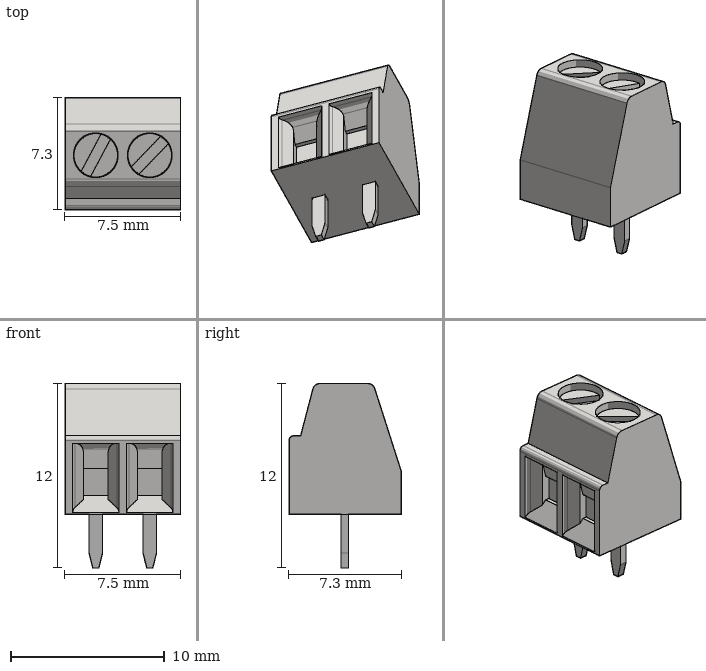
import cadquery as cq


pole_count = 2
pitch = 3.5
pole_places = [(i - (pole_count - 1) / 2) * pitch for i in range(pole_count)]

width = 7.5
depth = 7.3
height = 8.51
step_height = 5.11
step_depth = 0.75
top_front = 1.63
top_back = 5.46
back_wall_height = 2.78
top_round = 0.49
step_round = 0.3

entry_half_width = 1.5
entry_floor = 0.12
entry_top = 4.62
entry_wall_round = 0.47
entry_top_round = 0.5
funnel_end = 1.19
funnel_wall_end = 0.9
window_half_width = 0.8
window_bottom = 1.24
window_top = 2.99

screw_y = 3.55
clamp_front = 1.46
clamp_depth = 2 * (screw_y - clamp_front)

screw_radius = 1.42
screw_hole_radius = 1.45
screw_recess = 0.49
screw_top = height - screw_recess
slot_width = 0.7
slot_depth = 0.7
slot_angles = [62, 46]

pin_width = 0.9
pin_thickness = 0.5
pin_y = 3.61
pin_reach = 3.49
pin_bottom = -pin_reach
pin_tip_width = 0.4
pin_taper_height = 1.0


def side_extrusion(points, span):
    """Extrude a closed (Y, Z) outline along X, centred on X = 0."""
    return cq.Workplane("YZ").polyline(points).close().extrude(span / 2, both=True)


def round_edge(body, x, y, z, radius):
    """Round the edge whose middle is nearest to (x, y, z)."""
    return body.edges(cq.NearestToPointSelector((x, y, z))).fillet(radius)


def make_shell():
    """Housing block with its rounded long edges, before any opening is cut."""
    shell = side_extrusion(
        [
            (0, 0),
            (depth, 0),
            (depth, back_wall_height),
            (top_back, height),
            (top_front, height),
            (step_depth, step_height),
            (0, step_height),
        ],
        width,
    )
    shell = round_edge(shell, 0, top_front, height, top_round)
    shell = round_edge(shell, 0, top_back, height, top_round)
    return round_edge(shell, 0, 0, step_height, step_round)


def make_entry(x):
    """Funnel-shaped wire entry: the overlap of its side outline and its plan outline."""
    front_slope = (top_front - step_depth) / (height - step_height)
    slope_start = funnel_end - (entry_top - window_top) * front_slope
    side = side_extrusion(
        [
            (0, entry_floor),
            (funnel_end, window_bottom),
            (clamp_front, window_bottom),
            (clamp_front, window_top),
            (funnel_end, window_top),
            (slope_start, entry_top),
            (0, entry_top),
        ],
        2 * entry_half_width,
    )
    side = round_edge(side, 0, slope_start, entry_top, entry_top_round)

    taper_start = funnel_wall_end - (entry_half_width - window_half_width)
    plan = (
        cq.Workplane("XY")
        .polyline(
            [
                (-entry_half_width, 0),
                (entry_half_width, 0),
                (entry_half_width, taper_start),
                (window_half_width, funnel_wall_end),
                (window_half_width, clamp_front),
                (-window_half_width, clamp_front),
                (-window_half_width, funnel_wall_end),
                (-entry_half_width, taper_start),
            ]
        )
        .close()
        .extrude(entry_top)
    )
    for wall_x in (-entry_half_width, entry_half_width):
        plan = round_edge(plan, wall_x, taper_start, entry_top / 2, entry_wall_round)
    return side.intersect(plan).translate((x, 0, 0))


def make_clamp(x):
    """Clamp block behind the window; the screw rests on it and the pin meets it from below."""
    return (
        cq.Workplane("XY", origin=(x, screw_y, window_bottom))
        .rect(2 * window_half_width, clamp_depth)
        .extrude(window_top - window_bottom)
    )


def make_screw_hole(x):
    """Round hole from the top of the housing down to the level of the clamp top."""
    return (
        cq.Workplane("XY", origin=(x, screw_y, window_top))
        .circle(screw_hole_radius)
        .extrude(height - window_top)
    )


def make_screw(x, slot_angle):
    """Plain screw with a driver slot right across its top."""
    slot = (
        cq.Workplane("XY")
        .rect(2 * screw_hole_radius, slot_width)
        .extrude(slot_depth)
        .rotate((0, 0, 0), (0, 0, 1), slot_angle)
        .translate((x, screw_y, screw_top - slot_depth))
    )
    return (
        cq.Workplane("XY", origin=(x, screw_y, window_top))
        .circle(screw_radius)
        .extrude(screw_top - window_top)
        .cut(slot)
    )


def make_pin(x):
    """Flat pin with a tapered tip, from below the housing up to the clamp."""
    taper_top = pin_bottom + pin_taper_height
    return (
        cq.Workplane("XZ", origin=(x, pin_y, 0))
        .polyline(
            [
                (-pin_tip_width / 2, pin_bottom),
                (pin_tip_width / 2, pin_bottom),
                (pin_width / 2, taper_top),
                (pin_width / 2, window_bottom),
                (-pin_width / 2, window_bottom),
                (-pin_width / 2, taper_top),
            ]
        )
        .close()
        .extrude(pin_thickness / 2, both=True)
    )


clamps = [make_clamp(x) for x in pole_places]
screws = [make_screw(x, angle) for x, angle in zip(pole_places, slot_angles)]
pins = [make_pin(x) for x in pole_places]

housing = make_shell()
for x, clamp, pin in zip(pole_places, clamps, pins):
    housing = housing.cut(make_entry(x)).cut(make_screw_hole(x)).cut(clamp).cut(pin)

result = cq.Compound.makeCompound(
    [body.solids().val() for body in [housing, *clamps, *screws, *pins]]
)